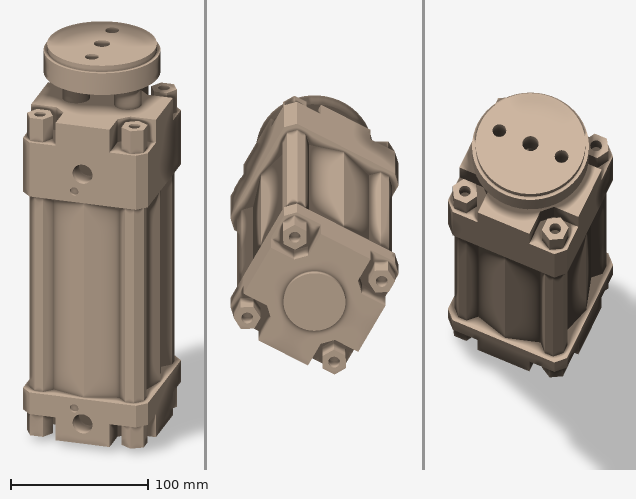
import cadquery as cq
import math

total_height = 303.0
foot_boss_height = 4.5
lower_cap_top = 40.0
upper_cap_bottom = 196.0
upper_cap_top = 257.2
plate_bottom = 281.0
plate_step_z = 298.2

cap_width = 95.0
cap_corner_chamfer = 7.0
pocket_depth = 18.2
pocket_edge = 20.5
pocket_corner_chamfer = 7.5
foot_boss_diameter = 45.0

nut_offset = 36.0
nut_across_flats = 17.0
nut_hole_diameter = 8.5
nut_hole_depth = 12.0
drill_point_angle = 118.0

barrel_half_width = 43.5
barrel_ridge = 44.5
barrel_groove = 37.3
groove_offset = 24.8
post_inner = groove_offset + barrel_half_width - barrel_groove
post_outer = 38.0

port_diameter = 15.0
port_depth = 15.0
screw_hole_diameter = 6.5
screw_hole_depth = 2.0
screw_hole_x = -6.5
lower_port_z = 20.3
lower_screw_z = 31.8
upper_port_z = 219.0
upper_screw_z = 204.5

rod_diameter = 20.0
rod_offset = 19.7
plate_diameter = 85.0
plate_rim_diameter = 80.0
plate_center_hole_diameter = 11.8
plate_side_hole_diameter = 10.0
plate_side_hole_offset = 24.8

corner_signs = [(1, 1), (-1, 1), (-1, -1), (1, -1)]


def make_cap(bottom, top, pocket_floor):
    """Square cap with chamfered corners and four corner pockets starting at pocket_floor."""
    cap = (
        cq.Workplane("XY", origin=(0, 0, bottom))
        .rect(cap_width, cap_width)
        .extrude(top - bottom)
        .edges("|Z")
        .chamfer(cap_corner_chamfer)
    )
    wall = cap_width / 2
    bevel = pocket_edge + pocket_corner_chamfer
    for side_x, side_y in corner_signs:
        outline = [
            (wall, pocket_edge),
            (bevel, pocket_edge),
            (pocket_edge, bevel),
            (pocket_edge, wall),
            (wall, wall),
        ]
        pocket = (
            cq.Workplane("XY", origin=(0, 0, pocket_floor))
            .polyline([(side_x * x, side_y * y) for x, y in outline])
            .close()
            .extrude(pocket_depth)
        )
        cap = cap.cut(pocket)
    return cap


def make_nut():
    """Upright hexagonal nut from z = 0, with a drilled blind hole in its top."""
    across_corners = nut_across_flats / math.cos(math.radians(30))
    radius = nut_hole_diameter / 2
    point_height = radius / math.tan(math.radians(drill_point_angle / 2))
    hole_bottom = pocket_depth - nut_hole_depth
    hole = (
        cq.Workplane("XZ")
        .moveTo(0, pocket_depth)
        .lineTo(radius, pocket_depth)
        .lineTo(radius, hole_bottom)
        .lineTo(0, hole_bottom - point_height)
        .close()
        .revolve(360, (0, 0, 0), (0, 1, 0))
    )
    return cq.Workplane("XY").polygon(6, across_corners).extrude(pocket_depth).cut(hole)


def make_nut_ring():
    """List of four nuts standing on z = 0, each turned a quarter turn from the last."""
    nut = make_nut().translate((nut_offset, nut_offset, 0))
    return [nut.rotate((0, 0, 0), (0, 0, 1), 90 * turn) for turn in range(4)]


def make_barrel():
    """Profiled tube body between the caps."""
    side = [
        (0, -barrel_ridge),
        (groove_offset, -barrel_groove),
        (post_inner, -barrel_half_width),
        (post_outer, -barrel_half_width),
        (barrel_half_width, -post_outer),
        (barrel_half_width, -post_inner),
        (barrel_groove, -groove_offset),
    ]
    outline = []
    for turn in range(4):
        cosine = round(math.cos(turn * math.pi / 2))
        sine = round(math.sin(turn * math.pi / 2))
        outline += [(x * cosine - y * sine, x * sine + y * cosine) for x, y in side]
    return (
        cq.Workplane("XY", origin=(0, 0, lower_cap_top))
        .polyline(outline)
        .close()
        .extrude(upper_cap_bottom - lower_cap_top)
    )


def make_front_hole(x, z, diameter, depth):
    """Cutter for a flat-bottomed hole entering the -Y face of a cap."""
    front_face = cq.Workplane("XZ", origin=(x, -cap_width / 2, z))
    return front_face.circle(diameter / 2).extrude(-depth)


def make_housing():
    """Barrel, both caps, foot boss and tie-rod nuts."""
    upper_floor = upper_cap_top - pocket_depth
    lower_floor = foot_boss_height + pocket_depth
    upper_cap = make_cap(upper_cap_bottom, upper_cap_top, upper_floor)
    lower_cap = make_cap(foot_boss_height, lower_cap_top, foot_boss_height)
    foot_boss = cq.Workplane("XY").circle(foot_boss_diameter / 2).extrude(foot_boss_height)
    body = make_barrel().union(upper_cap).union(lower_cap).union(foot_boss)

    for nut in make_nut_ring():
        upper_nut = nut.translate((0, 0, upper_floor))
        lower_nut = nut.mirror("XY").translate((0, 0, lower_floor))
        body = body.union(upper_nut).union(lower_nut)

    for z in (lower_port_z, upper_port_z):
        body = body.cut(make_front_hole(0, z, port_diameter, port_depth))
    for z in (lower_screw_z, upper_screw_z):
        body = body.cut(make_front_hole(screw_hole_x, z, screw_hole_diameter, screw_hole_depth))
    return body


def make_tool_plate():
    """Round plate with a raised face, carried by two rods that end on the upper cap."""
    plate = (
        cq.Workplane("XY", origin=(0, 0, plate_bottom))
        .circle(plate_diameter / 2)
        .extrude(plate_step_z - plate_bottom)
        .faces(">Z")
        .workplane()
        .circle(plate_rim_diameter / 2)
        .extrude(total_height - plate_step_z)
    )
    plate = plate.faces(">Z").workplane().hole(plate_center_hole_diameter)
    plate = (
        plate.faces(">Z")
        .workplane()
        .pushPoints([(0, plate_side_hole_offset), (0, -plate_side_hole_offset)])
        .hole(plate_side_hole_diameter)
    )
    rods = (
        cq.Workplane("XY", origin=(0, 0, upper_cap_top))
        .pushPoints([(rod_offset, 0), (-rod_offset, 0)])
        .circle(rod_diameter / 2)
        .extrude(plate_bottom - upper_cap_top)
    )
    return plate.union(rods)


housing = make_housing()
tool_plate = make_tool_plate()

result = cq.Compound.makeCompound([housing.val(), tool_plate.val()])